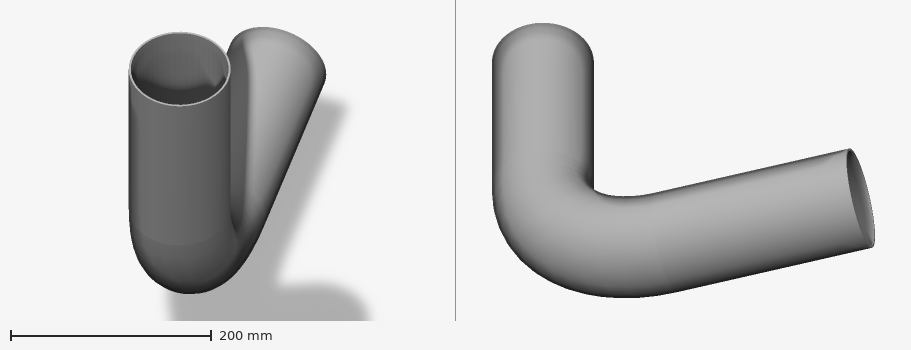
import cadquery as cq

overall_length = 381.0
outer_diameter = 101.7
inner_diameter = 97.5
bend_radius = 127.0

leg_length = overall_length - bend_radius - outer_diameter / 2


def ring(workplane):
    """Pipe cross-section centred on the workplane origin."""
    return workplane.circle(outer_diameter / 2).circle(inner_diameter / 2)


vertical_leg = ring(cq.Workplane("XY")).extrude(leg_length)

bend = ring(cq.Workplane("XY")).revolve(90, (0, bend_radius, 0), (1, bend_radius, 0))

horizontal_start = cq.Plane(
    origin=(0, bend_radius, -bend_radius), xDir=(1, 0, 0), normal=(0, 1, 0)
)
horizontal_leg = ring(cq.Workplane(horizontal_start)).extrude(leg_length)

result = vertical_leg.union(bend).union(horizontal_leg)